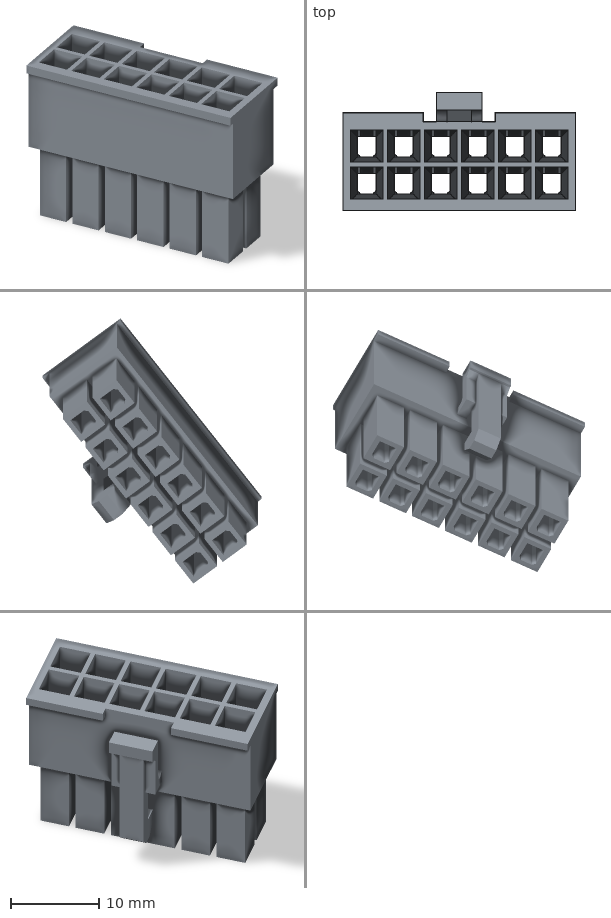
import cadquery as cq


columns = 6
rows = 2
pitch = 4.2

length = 26.4
body_depth = 10.67
body_front = -4.62
body_back = 4.95
flange_thickness = 1.0
flange_front = -5.15
flange_back = 5.97
notch_width = 8.13

overall_height = 19.6
post_side = 3.4

cavity_side = 3.65
cavity_offset = 0.1
bore_width = 2.15
bore_length = 2.3
funnel_height = 3.43
funnel_bottom = -9.9
ledge_depth = 0.4
slot_width = 0.37
cut_overlap = 0.26

latch_width = 5.2
lever_width = 2.82
bar_back = 8.25
bar_top = -2.0
bar_bottom = -3.56
lever_back = 7.97
lever_front = 6.25
web_back = 7.25
web_taper = 0.63
web_bottom = -9.2
relief_radius = 0.65
relief_center_z = -7.3
hook_front = 4.5
hook_top = -13.95
hook_nose_top = -15.52
hook_back_chamfer_top = -15.95
hook_bottom = -16.95
hook_tip_back = 6.9
hook_tip_front = 5.68


def block(width, y_front, y_back, z_bottom, z_top):
    """Box centred on X between the given Y and Z limits."""
    return (
        cq.Workplane("XY", origin=(0, 0, z_bottom))
        .center(0, (y_front + y_back) / 2)
        .rect(width, y_back - y_front)
        .extrude(z_top - z_bottom)
    )


def at_every_terminal(shape):
    """Copies of a shape placed on every position of the terminal grid."""
    copies = cq.Workplane("XY")
    for column in range(columns):
        for row in range(rows):
            x = (column - (columns - 1) / 2) * pitch
            y = (row - (rows - 1) / 2) * pitch
            copies = copies.add(shape.translate((x, y, 0)).vals())
    return copies.combine()


def make_housing():
    body = block(length, body_front, body_back, -body_depth, 0)
    flange = block(length, flange_front, flange_back, -flange_thickness, 0)
    notch = block(notch_width, body_back, flange_back, -flange_thickness, 0)
    post = block(post_side, -post_side / 2, post_side / 2, -overall_height, -body_depth)
    return body.union(flange).cut(notch).union(at_every_terminal(post))


def make_passage():
    """Cavity, funnel and bore of one terminal, with two slots behind the bore."""
    cavity_front = cavity_offset - cavity_side / 2
    cavity_back = cavity_offset + cavity_side / 2
    bore_back = bore_length / 2
    funnel_margin = cavity_back - bore_back
    funnel_top = funnel_bottom + funnel_height
    ledge = funnel_bottom - ledge_depth

    cavity = block(cavity_side, cavity_front, cavity_back, funnel_top, cut_overlap)
    funnel = (
        cq.Workplane("XY", origin=(0, 0, funnel_bottom))
        .rect(bore_width, bore_length)
        .workplane(offset=funnel_height)
        .rect(bore_width + 2 * funnel_margin, bore_length + 2 * funnel_margin)
        .loft(ruled=True)
        .intersect(block(cavity_side, cavity_front, cavity_back, funnel_bottom, funnel_top))
    )
    upper_bore = block(bore_width, -bore_back, bore_back, ledge, funnel_top)
    lower_bore = (
        block(bore_width, -bore_back, bore_back, -overall_height - cut_overlap, ledge)
        .edges("|Z and <Y")
        .chamfer(slot_width)
    )
    passage = cavity.union(funnel).union(upper_bore).union(lower_bore)
    for side in (-1, 1):
        slot = block(slot_width, 0, cavity_back, ledge, funnel_top)
        passage = passage.union(slot.translate((side * (bore_width - slot_width) / 2, 0, 0)))
    return passage


def extrude_across(profile, width):
    """Solid of a YZ outline, centred on X."""
    return profile.close().extrude(width / 2, both=True)


def make_latch():
    lever = extrude_across(
        cq.Workplane("YZ")
        .moveTo(lever_front, bar_top)
        .lineTo(bar_back, bar_top)
        .lineTo(bar_back, bar_bottom)
        .lineTo(lever_back, bar_bottom)
        .lineTo(lever_back, hook_back_chamfer_top)
        .lineTo(hook_tip_back, hook_bottom)
        .lineTo(hook_tip_front, hook_bottom)
        .lineTo(hook_front, hook_nose_top)
        .lineTo(hook_front, hook_top)
        .lineTo(lever_front, hook_top),
        lever_width,
    )
    web = extrude_across(
        cq.Workplane("YZ")
        .moveTo(lever_front, bar_top)
        .lineTo(bar_back, bar_top)
        .lineTo(bar_back, bar_bottom)
        .lineTo(lever_back, bar_bottom)
        .lineTo(web_back, bar_bottom - web_taper)
        .lineTo(web_back, web_bottom)
        .lineTo(body_back, web_bottom)
        .lineTo(body_back, relief_center_z)
        .lineTo(lever_front, relief_center_z),
        latch_width,
    )
    relief = (
        cq.Workplane("YZ", origin=(0, lever_front - relief_radius, relief_center_z))
        .circle(relief_radius)
        .extrude(latch_width / 2, both=True)
    )
    window = block(lever_width, body_back, lever_front, web_bottom, relief_center_z)
    return web.cut(relief).cut(window).union(lever)


result = make_housing().cut(at_every_terminal(make_passage())).union(make_latch())